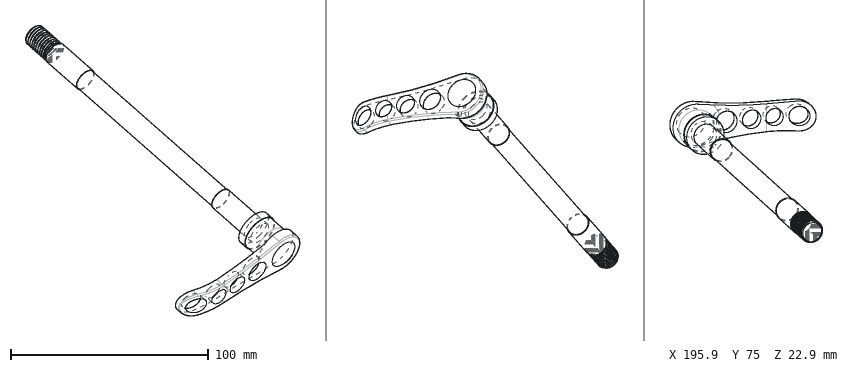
import cadquery as cq
import math

TOTAL_LENGTH = 195.9

JOURNAL_RADIUS = 6.0
SHANK_RADIUS = 5.7
JOURNAL_START = 16.3
JOURNAL_CHAMFER = 0.4
SHANK_START = 40.2
SHANK_END = 144.5

THREAD_RADIUS = 5.9
THREAD_ROOT_RADIUS = 5.0
THREAD_PITCH = 1.5
THREAD_LENGTH = 15.0
THREAD_CHAMFER = 0.8
THREAD_CREST_WIDTH = THREAD_PITCH / 8
THREAD_OVERCUT = 0.08

WASHER_START = 170.0
WASHER_END = 174.7
WASHER_RADIUS = 10.0

HUB_RADIUS = 9.5
HUB_FILLET = 4.7
PLATE_INNER_X = 188.2
PLATE_OUTER_X = 193.1
PLATE_EDGE_FILLET = 0.8
DOME_RADIUS = 7.6
DOME_HEIGHT = TOTAL_LENGTH - PLATE_OUTER_X

HEAD_RADIUS = 11.45
WAIST_Y = -40.7
WAIST_HALF_WIDTH = 7.5
TIP_RADIUS = 8.0
TIP_Y = -63.55
TIP_CENTRE_Y = TIP_Y + TIP_RADIUS

BEND_INNER_START_Y = -39.0
BEND_INNER_RADIUS = 56.8
BEND_OUTER_START_Y = -40.7
BEND_OUTER_RADIUS = 37.2

TRIM_ALLOWANCE = 4.0

LEVER_HOLES = [(-17.5, 5.7), (-31.0, 4.9), (-43.0, 4.5), (-55.6, 5.0)]


def cylinder_along_x(start, end, radius):
    return cq.Workplane("YZ", origin=(start, 0, 0)).circle(radius).extrude(end - start)


def make_thread_groove():
    """V-shaped helical groove, cut from past the free end of the axle to the end of the thread."""
    helix_start = -THREAD_PITCH
    helix_length = THREAD_LENGTH - helix_start
    helix = cq.Wire.makeHelix(
        THREAD_PITCH, helix_length, THREAD_RADIUS, cq.Vector(helix_start, 0, 0), cq.Vector(1, 0, 0)
    )
    start = helix.startPoint()
    outward = cq.Vector(0, start.y, start.z).normalized()
    section_plane = cq.Plane(
        origin=(helix_start, 0, 0), xDir=(1, 0, 0), normal=cq.Vector(1, 0, 0).cross(outward)
    )
    depth = THREAD_RADIUS - THREAD_ROOT_RADIUS
    half_width = (THREAD_PITCH - THREAD_CREST_WIDTH) / 2 * (depth + THREAD_OVERCUT) / depth
    section = cq.Workplane(section_plane).polyline([
        (-half_width, THREAD_RADIUS + THREAD_OVERCUT),
        (half_width, THREAD_RADIUS + THREAD_OVERCUT),
        (0, THREAD_ROOT_RADIUS),
    ]).close()
    return section.sweep(cq.Workplane(helix), isFrenet=True)


def make_axle():
    outline = [
        (0, 0),
        (0, THREAD_RADIUS - THREAD_CHAMFER),
        (THREAD_CHAMFER, THREAD_RADIUS),
        (THREAD_LENGTH, THREAD_RADIUS),
        (THREAD_LENGTH, THREAD_ROOT_RADIUS),
        (JOURNAL_START, THREAD_ROOT_RADIUS),
        (JOURNAL_START, JOURNAL_RADIUS - JOURNAL_CHAMFER),
        (JOURNAL_START + JOURNAL_CHAMFER, JOURNAL_RADIUS),
        (SHANK_START, JOURNAL_RADIUS),
        (SHANK_START, SHANK_RADIUS),
        (SHANK_END, SHANK_RADIUS),
        (SHANK_END, JOURNAL_RADIUS),
        (WASHER_END, JOURNAL_RADIUS),
        (WASHER_END, 0),
    ]
    blank = cq.Workplane("XY").polyline(outline).close().revolve(360, (0, 0, 0), (1, 0, 0))
    return blank.cut(make_thread_groove())


def make_washer():
    ring = cylinder_along_x(WASHER_START, WASHER_END, WASHER_RADIUS)
    return ring.cut(cylinder_along_x(WASHER_START, WASHER_END, JOURNAL_RADIUS))


def waist_arc(centre_y, radius):
    """Start and middle of the concave side arc that is tangent to an end circle and ends at the waist.

    The arc's own centre lies straight above the waist; both points are (Y, Z) on the +Z side.
    """
    span = centre_y - WAIST_Y
    arc_radius = (span**2 + WAIST_HALF_WIDTH**2 - radius**2) / (2 * (radius - WAIST_HALF_WIDTH))
    sweep = math.asin(span / (radius + arc_radius))
    arc_centre_z = WAIST_HALF_WIDTH + arc_radius

    def point_at(angle):
        return (WAIST_Y + arc_radius * math.sin(angle), arc_centre_z - arc_radius * math.cos(angle))

    return point_at(sweep), point_at(sweep / 2)


def mirrored(point):
    return (point[0], -point[1])


def make_lever_outline():
    """Lever silhouette in the YZ plane, extruded along X over the lever's whole depth."""
    head, head_middle = waist_arc(0, HEAD_RADIUS)
    tip, tip_middle = waist_arc(TIP_CENTRE_Y, TIP_RADIUS)
    waist = (WAIST_Y, WAIST_HALF_WIDTH)
    outline = (
        cq.Workplane("YZ")
        .moveTo(*mirrored(head))
        .threePointArc((HEAD_RADIUS, 0), head)
        .threePointArc(head_middle, waist)
        .threePointArc(tip_middle, tip)
        .threePointArc((TIP_Y, 0), mirrored(tip))
        .threePointArc(mirrored(tip_middle), mirrored(waist))
        .threePointArc(mirrored(head_middle), mirrored(head))
        .close()
    )
    return outline.extrude(TOTAL_LENGTH)


def bend_point(face_x, bend_start_y, bend_radius, y):
    """Point at height y on a face that bends toward -X from bend_start_y."""
    drop = bend_start_y - y
    return (face_x - bend_radius + math.sqrt(bend_radius**2 - drop**2), y)


def make_lever_plate():
    """Plate with its bent end, drawn in the XY plane and extruded, larger all round than the outline."""
    start_y = HEAD_RADIUS + TRIM_ALLOWANCE
    end_y = TIP_Y - TRIM_ALLOWANCE
    middle_y = (BEND_INNER_START_Y + end_y) / 2
    half_width = HEAD_RADIUS + TRIM_ALLOWANCE
    inner_bend = (PLATE_INNER_X, BEND_INNER_START_Y, BEND_INNER_RADIUS)
    outer_bend = (PLATE_OUTER_X, BEND_OUTER_START_Y, BEND_OUTER_RADIUS)
    profile = (
        cq.Workplane("XY", origin=(0, 0, -half_width))
        .moveTo(PLATE_INNER_X, start_y)
        .lineTo(PLATE_OUTER_X, start_y)
        .lineTo(PLATE_OUTER_X, BEND_OUTER_START_Y)
        .threePointArc(bend_point(*outer_bend, middle_y), bend_point(*outer_bend, end_y))
        .lineTo(*bend_point(*inner_bend, end_y))
        .threePointArc(bend_point(*inner_bend, middle_y), (PLATE_INNER_X, BEND_INNER_START_Y))
        .close()
    )
    return profile.extrude(2 * half_width)


def make_hub():
    """Round hub that flares into the plate with a concave fillet."""
    fillet_start = PLATE_INNER_X - HUB_FILLET
    flare_radius = HUB_RADIUS + HUB_FILLET
    fillet_reach = HUB_FILLET * math.sqrt(0.5)
    profile = (
        cq.Workplane("XY")
        .moveTo(WASHER_END, 0)
        .lineTo(WASHER_END, HUB_RADIUS)
        .lineTo(fillet_start, HUB_RADIUS)
        .threePointArc(
            (fillet_start + fillet_reach, flare_radius - fillet_reach),
            (PLATE_INNER_X, flare_radius),
        )
        .lineTo(PLATE_INNER_X, 0)
        .close()
    )
    return profile.revolve(360, (0, 0, 0), (1, 0, 0))


def make_dome():
    """Spherical cap on the outer face of the lever head."""
    sphere_radius = (DOME_RADIUS**2 + DOME_HEIGHT**2) / (2 * DOME_HEIGHT)
    sphere_x = TOTAL_LENGTH - sphere_radius
    half_angle = math.asin(DOME_RADIUS / sphere_radius) / 2
    profile = (
        cq.Workplane("XY")
        .moveTo(PLATE_OUTER_X, 0)
        .lineTo(PLATE_OUTER_X, DOME_RADIUS)
        .threePointArc(
            (sphere_x + sphere_radius * math.cos(half_angle), sphere_radius * math.sin(half_angle)),
            (TOTAL_LENGTH, 0),
        )
        .close()
    )
    return profile.revolve(360, (0, 0, 0), (1, 0, 0))


def make_lever():
    blank = make_lever_plate().union(make_hub())
    lever = blank.intersect(make_lever_outline())
    lever = lever.faces(">X").edges(">Y").fillet(PLATE_EDGE_FILLET)
    lever = lever.union(make_dome())
    for hole_y, hole_radius in LEVER_HOLES:
        hole = cylinder_along_x(WASHER_END, TOTAL_LENGTH, hole_radius).translate((0, hole_y, 0))
        lever = lever.cut(hole)
    return lever


axle = make_axle()
washer = make_washer()
lever = make_lever()
result = cq.Compound.makeCompound([part.solids().val() for part in (axle, washer, lever)])